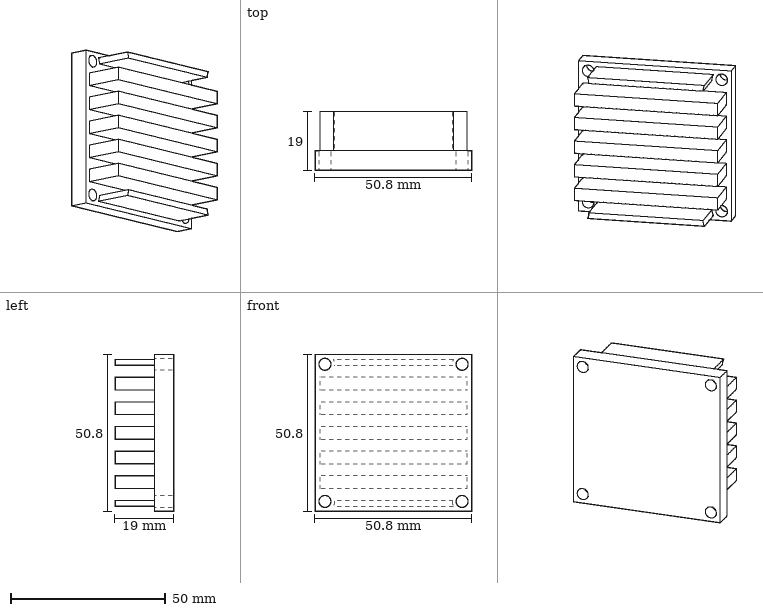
import cadquery as cq

plate_side = 50.8
plate_thickness = 6.35

fin_height = 12.7
fin_thickness = 4.15
fin_pitch = 8.0
fin_count = 7
fin_area_side = 47.65

hole_diameter = 3.8
hole_edge_distance = 3.2
clearance_diameter = 6.35
hole_spacing = plate_side - 2 * hole_edge_distance


def block(size_x, size_y, size_z, start_y, center_z=0.0):
    """Box centred in X, starting at start_y and centred on center_z."""
    return cq.Workplane("XY").box(size_x, size_y, size_z).translate((0, start_y + size_y / 2, center_z))


def corner_cylinders(diameter, start_y, length):
    """Four cylinders along +Y at the corner hole positions."""
    return (
        cq.Workplane("XZ", origin=(0, start_y, 0))
        .rect(hole_spacing, hole_spacing, forConstruction=True)
        .vertices()
        .circle(diameter / 2)
        .extrude(-length)
    )


plate = block(plate_side, plate_thickness, plate_side, 0)
plate = plate.cut(corner_cylinders(hole_diameter, 0, plate_thickness))

fin_area = block(fin_area_side, fin_height, fin_area_side, plate_thickness)
clearances = corner_cylinders(clearance_diameter, plate_thickness, fin_height)

result = plate
for index in range(fin_count):
    fin_z = (index - (fin_count - 1) / 2) * fin_pitch
    fin = block(fin_area_side, fin_height, fin_thickness, plate_thickness, fin_z)
    result = result.union(fin.intersect(fin_area).cut(clearances))